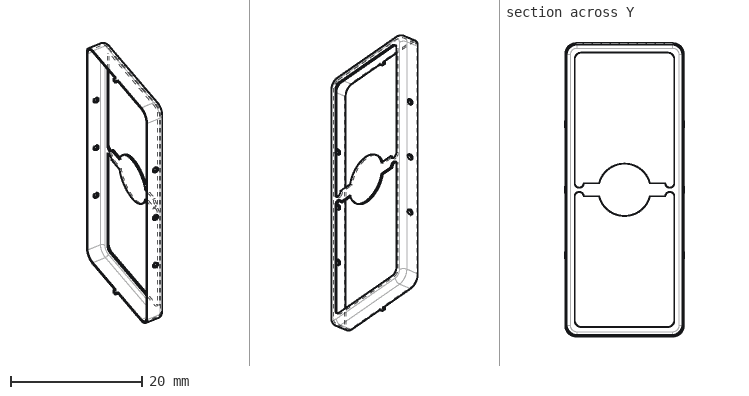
import cadquery as cq

width = 18.2
height = 44.8
total_depth = 3.5
tab_length = 0.5
tray_depth = total_depth - tab_length
wall = 0.3
corner_radius = 1.8
back_edge_radius = 0.8

flange_width = 1.52
opening_corner_radius = 1.0

disc_diameter = 8.0
bar_height = 2.0
neck_height = 0.65
notch_radius = (bar_height - neck_height) / 2
bar_overlap = 0.45

hole_diameter = 0.95
hole_pitch = 10.0
tab_width = 0.65

back_y = total_depth / 2
rim_y = back_y - tray_depth
panel_y = back_y - wall
tab_tip_y = rim_y - tab_length

opening_width = width - 2 * flange_width
opening_height = height - 2 * flange_width


def block(size_x, size_z, front_y, rear_y):
    """Box centred on X and Z, spanning front_y to rear_y."""
    depth = rear_y - front_y
    return cq.Workplane("XY").box(size_x, depth, size_z).translate((0, front_y + depth / 2, 0))


def rounded_block(size_x, size_z, front_y, rear_y, radius):
    """Centred box with its four Y-direction edges rounded."""
    return block(size_x, size_z, front_y, rear_y).edges("|Y").fillet(radius)


def make_tray():
    """Thin-walled tray of even wall thickness around its rounded back edge."""
    outer = rounded_block(width, height, rim_y, back_y, corner_radius)
    outer = outer.faces(">Y").edges().fillet(back_edge_radius)
    inner = rounded_block(width - 2 * wall, height - 2 * wall, rim_y, panel_y, corner_radius - wall)
    inner = inner.faces(">Y").edges().fillet(back_edge_radius - wall)
    return outer.cut(inner)


def cylinder_y(diameter, x, z):
    """Cylinder through the back panel thickness."""
    profile = cq.Workplane("XZ", origin=(0, back_y, 0)).center(x, z).circle(diameter / 2)
    return profile.extrude(wall)


def make_disc_and_bar():
    """Disc on a full-width bar, with round notches beside the flange."""
    bar = block(opening_width + 2 * bar_overlap, bar_height, panel_y, back_y)
    notch_x = opening_width / 2 - notch_radius
    for x in (-notch_x, notch_x):
        for z in (-bar_height / 2, bar_height / 2):
            bar = bar.cut(cylinder_y(2 * notch_radius, x, z))
    return bar.union(cylinder_y(disc_diameter, 0, 0))


def make_tab(side):
    """Small tab continuing an end wall past the rim; side is +1 or -1."""
    tab = block(tab_width, wall, tab_tip_y, rim_y + wall)
    return tab.translate((0, 0, side * (height - wall) / 2))


def make_side_holes():
    """Three round holes through both long walls, midway up the tray depth."""
    holes = cq.Workplane("YZ", origin=(-width / 2, (rim_y + back_y) / 2, 0))
    positions = [(0, row * hole_pitch) for row in (-1, 0, 1)]
    return holes.pushPoints(positions).circle(hole_diameter / 2).extrude(width)


opening = rounded_block(opening_width, opening_height, panel_y, back_y, opening_corner_radius)

result = make_tray().cut(opening).cut(make_side_holes())
result = result.union(make_disc_and_bar())
for end in (-1, 1):
    result = result.union(make_tab(end))